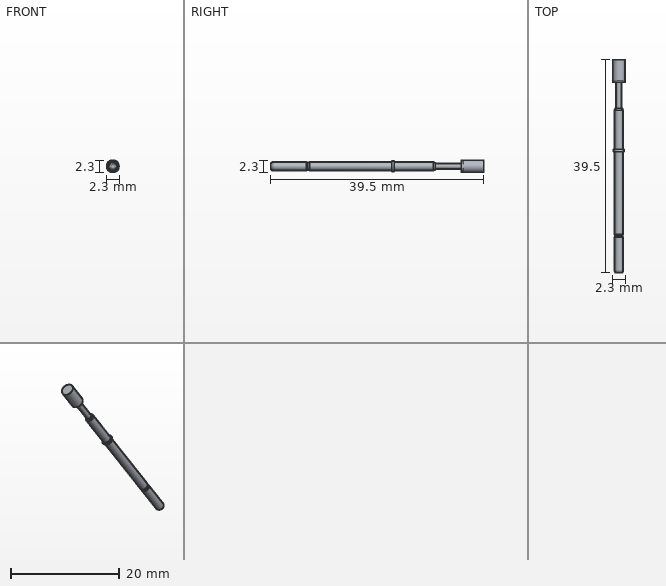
import cadquery as cq
import math


total_length = 39.5
head_length = 4.2
barrel_length = 30.48
ring_center = 22.65
groove_center = 6.9
head_start = total_length - head_length

head_diameter = 2.3
plunger_diameter = 1.05
barrel_diameter = 1.6
ring_diameter = 2.05

mouth_chamfer_length = 0.33
mouth_chamfer_depth = 0.15
tail_radius = 0.42
ring_width = 0.5
groove_width = 0.6
groove_depth = 0.15
recess_depth = 0.35
recess_floor_diameter = 1.8
flare_diameter = 1.2


def cylinder(diameter, start, end):
    """Cylinder on the Y axis between two positions."""
    return (
        cq.Workplane("XZ", origin=(0, start, 0))
        .circle(diameter / 2)
        .extrude(start - end)
    )


def revolve_about_y(profile):
    """Close a half profile in the XY plane and turn it once around the Y axis."""
    return profile.close().revolve(360, (0, 0, 0), (0, 1, 0))


def barrel():
    """Solid barrel with a rounded tail and a tapered mouth."""
    radius = barrel_diameter / 2
    arc_offset = tail_radius * math.sqrt(0.5)
    arc_middle = (radius - tail_radius + arc_offset, tail_radius - arc_offset)
    profile = (
        cq.Workplane("XY")
        .lineTo(radius - tail_radius, 0)
        .threePointArc(arc_middle, (radius, tail_radius))
        .lineTo(radius, barrel_length - mouth_chamfer_length)
        .lineTo(radius - mouth_chamfer_depth, barrel_length)
        .lineTo(0, barrel_length)
    )
    return revolve_about_y(profile)


def press_ring():
    """Raised bead around the barrel with a half-round crest."""
    bead_radius = ring_width / 2
    shoulder = ring_diameter / 2 - bead_radius
    bottom = ring_center - bead_radius
    top = ring_center + bead_radius
    profile = (
        cq.Workplane("XY")
        .moveTo(0, bottom)
        .lineTo(shoulder, bottom)
        .threePointArc((ring_diameter / 2, ring_center), (shoulder, top))
        .lineTo(0, top)
    )
    return revolve_about_y(profile)


def crimp_groove():
    """V-shaped groove cutter around the barrel."""
    radius = barrel_diameter / 2
    profile = (
        cq.Workplane("XY")
        .moveTo(radius, groove_center - groove_width / 2)
        .lineTo(radius - groove_depth, groove_center)
        .lineTo(radius, groove_center + groove_width / 2)
    )
    return revolve_about_y(profile)


def head_recess():
    """Cone-sided annular cutter that dishes the underside of the head around the plunger."""
    floor = head_start + recess_depth
    profile = (
        cq.Workplane("XY")
        .moveTo(plunger_diameter / 2, head_start)
        .lineTo(head_diameter / 2, head_start)
        .lineTo(recess_floor_diameter / 2, floor)
        .lineTo(flare_diameter / 2, floor)
    )
    return revolve_about_y(profile)


plunger_start = ring_center
plunger = cylinder(plunger_diameter, plunger_start, total_length)
head = cylinder(head_diameter, head_start, total_length).cut(head_recess())
body = barrel().cut(crimp_groove()).union(press_ring())

result = body.union(plunger).union(head)